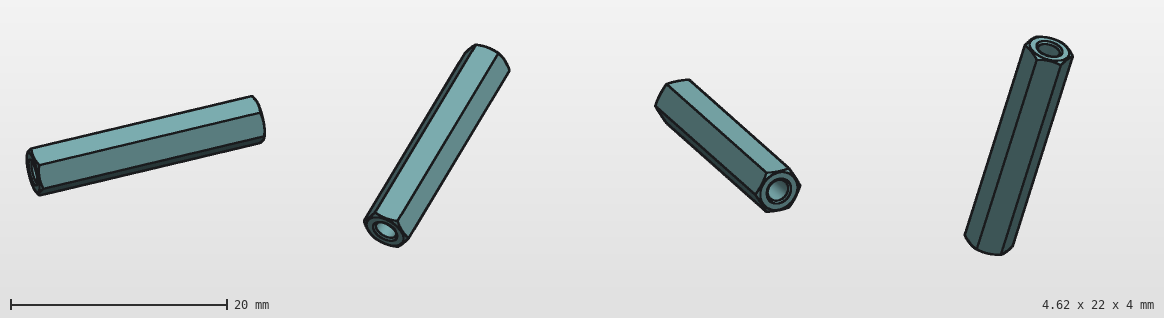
import cadquery as cq
import math

length = 22.0
across_flats = 4.0
across_corners = across_flats / math.cos(math.radians(30))

end_face_diameter = 3.8
end_chamfer_angle = 30.0

bore_diameter = 2.1
bore_depth = 6.0
drill_tip_angle = 118.0
mouth_diameter = 2.5
mouth_angle = 45.0


def cone_height(radial_step, slope_degrees):
    """Axial length of a cone whose slope is measured from the end face."""
    return radial_step * math.tan(math.radians(slope_degrees))


def revolve_about_y(outline):
    """Revolve (radius, y) points in the XY plane around the Y axis."""
    return cq.Workplane("XY").polyline(outline).close().revolve(360, (0, 0), (0, 1))


def make_hexagon_bar():
    return (
        cq.Workplane("XZ")
        .polygon(6, across_corners)
        .extrude(length / 2, both=True)
    )


def make_end_envelope():
    """Round body with coned ends; its overlap with the bar chamfers the corners."""
    half_length = length / 2
    end_radius = end_face_diameter / 2
    outer_radius = across_corners
    shoulder = half_length - cone_height(outer_radius - end_radius, end_chamfer_angle)
    return revolve_about_y([
        (0, -half_length),
        (end_radius, -half_length),
        (outer_radius, -shoulder),
        (outer_radius, shoulder),
        (end_radius, half_length),
        (0, half_length),
    ])


def make_front_hole():
    """Countersunk blind hole with a drill-point bottom, entering at the -Y end."""
    front = -length / 2
    bore_radius = bore_diameter / 2
    mouth_radius = mouth_diameter / 2
    countersink_depth = cone_height(mouth_radius - bore_radius, mouth_angle)
    tip_length = cone_height(bore_radius, 90 - drill_tip_angle / 2)
    return revolve_about_y([
        (0, front),
        (mouth_radius, front),
        (bore_radius, front + countersink_depth),
        (bore_radius, front + bore_depth),
        (0, front + bore_depth + tip_length),
    ])


front_hole = make_front_hole()
back_hole = front_hole.mirror("XZ")

result = make_hexagon_bar().intersect(make_end_envelope()).cut(front_hole).cut(back_hole)